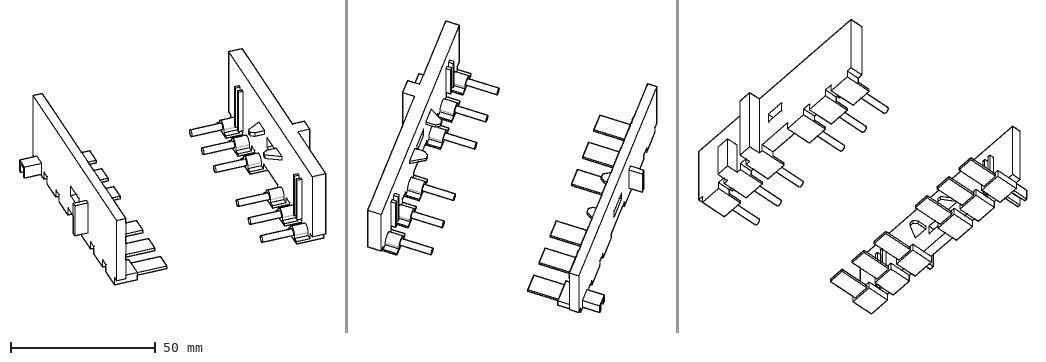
import cadquery as cq


wall_length = 80.2
wall_top = 28.6
foot_height = 3.1
foot_width = 8.5
foot_reach = 5.0

contact_first_x = 10.9
contact_pitch = 11.5
contacts_per_side = 3
contact_reach = 11.4

rib_pair_x = 28.2
rib_offset = 1.3
rib_width = 1.0
rib_reach = 1.7
rib_bottom = 4.1
rib_top = 20.9

wedge_inner_x = 5.6
wedge_tip_x = 8.05
wedge_outer_x = 11.05
wedge_thickness = 1.5
wedge_chamfer_width = 1.0
wedge_chamfer_reach = 1.4

front_outer_y = 6.4
front_thickness = 3.45
front_inner_y = front_outer_y + front_thickness
front_window_width = 7.8
front_window_bottom = 10.1
front_window_top = 14.05
tab_width = 6.2
tab_thickness = 1.15
tab_bottom = 1.1
clip_x = -34.0
clip_width = 4.7
clip_bottom = 0.7
clip_top = 5.4
clip_wall = 1.1
blade_x = 12.0
blade_thickness = 1.7
blade_reach = 4.95
blade_bottom = 5.4
blade_top = 18.1

depth = 88.4
rear_block_reach = 4.4
rear_thickness = 5.0
rear_outer_y = depth - rear_block_reach
rear_inner_y = rear_outer_y - rear_thickness
rear_window_width = 6.9
rear_window_bottom = 12.4
rear_window_top = 16.4
sole_thickness = 1.1
socket_radius = 2.2
socket_axis_z = 2.3
pin_diameter = 2.5
rear_block_width = 5.1
tall_block_x = 10.7
short_block_x = 22.4
short_block_height = wall_top / 2

contact_xs = [
    side * (contact_first_x + i * contact_pitch)
    for side in (-1, 1)
    for i in range(contacts_per_side)
]


def box(x_middle, width, y_start, y_end, z_bottom, z_top):
    """Block centred on x_middle, between the given Y and Z limits."""
    size = (width, y_end - y_start, z_top - z_bottom)
    return cq.Workplane("XY").box(*size, centered=(True, False, False)).translate((x_middle, y_start, z_bottom))


def wall(y_start, y_end):
    """Plain wall standing on its row of feet."""
    body = box(0, wall_length, y_start, y_end, foot_height, wall_top)
    for x in contact_xs:
        body = body.union(box(x, foot_width, y_start, y_end, 0, foot_height))
    return body


def guide_ribs(face_y, direction):
    """Four upright ribs standing out from face_y along direction."""
    ribs = cq.Workplane("XY")
    y_start, y_end = sorted((face_y, face_y + direction * rib_reach))
    for pair_x in (-rib_pair_x, rib_pair_x):
        for x in (pair_x - rib_offset, pair_x + rib_offset):
            ribs = ribs.add(box(x, rib_width, y_start, y_end, rib_bottom, rib_top))
    return ribs


def latch_wedges(face_y, direction, z_bottom):
    """Mirrored pair of flat latch wedges, chamfered at their inner corner and slanted outside."""
    tip_y = face_y + direction * foot_reach
    outline = [
        (wedge_inner_x, face_y),
        (wedge_inner_x, tip_y - direction * wedge_chamfer_reach),
        (wedge_inner_x + wedge_chamfer_width, tip_y),
        (wedge_tip_x, tip_y),
        (wedge_outer_x, face_y),
    ]
    wedge = cq.Workplane("XY").workplane(offset=z_bottom).polyline(outline).close().extrude(wedge_thickness)
    return wedge.add(wedge.mirror("YZ"))


def join(body, features):
    """Fuse every solid held by features into body."""
    for solid in features.vals():
        body = body.union(cq.Workplane(solid))
    return body


def clip():
    """Channel open downwards and outwards, at the left end of the front wall."""
    block = box(clip_x, clip_width, 0, front_outer_y, clip_bottom, clip_top)
    channel = box(clip_x, clip_width - 2 * clip_wall, 0, front_outer_y, clip_bottom, clip_top - clip_wall)
    return block.cut(channel)


def make_front_carrier():
    foot_end_y = front_inner_y + foot_reach
    tab_top = tab_bottom + tab_thickness
    body = wall(front_outer_y, front_inner_y)
    for x in contact_xs:
        body = body.union(box(x, foot_width, front_inner_y, foot_end_y, 0, foot_height))
        body = body.union(box(x, tab_width, foot_end_y, foot_end_y + contact_reach, tab_bottom, tab_top))
    window = box(0, front_window_width, front_outer_y, front_inner_y, front_window_bottom, front_window_top)
    blade = box(blade_x, blade_thickness, front_outer_y - blade_reach, front_outer_y, blade_bottom, blade_top)
    body = body.cut(window).union(blade).union(clip())
    body = join(body, guide_ribs(front_inner_y, 1))
    return join(body, latch_wedges(front_inner_y, 1, front_window_top))


def pin_socket(x, y_start, y_end):
    """Round-topped socket on a thin sole, carrying a pin that points towards -Y."""
    sole = box(x, foot_width, y_start, y_end, 0, sole_thickness)
    cheeks = box(x, 2 * socket_radius, y_start, y_end, 0, socket_axis_z)
    axis = cq.Workplane("XZ", origin=(x, y_end, socket_axis_z))
    crown = axis.circle(socket_radius).extrude(y_end - y_start)
    pin = axis.circle(pin_diameter / 2).extrude(y_end - y_start + contact_reach)
    return sole.union(cheeks).union(crown).union(pin)


def make_rear_carrier():
    body = wall(rear_inner_y, rear_outer_y)
    for x in contact_xs:
        body = body.union(pin_socket(x, rear_inner_y - foot_reach, rear_inner_y))
    window = box(0, rear_window_width, rear_inner_y, rear_outer_y, rear_window_bottom, rear_window_top)
    tall_block = box(tall_block_x, rear_block_width, rear_outer_y, depth, 0, wall_top)
    short_block = box(short_block_x, rear_block_width, rear_outer_y, depth, 0, short_block_height)
    body = body.cut(window).union(tall_block).union(short_block)
    body = join(body, guide_ribs(rear_inner_y, -1))
    return join(body, latch_wedges(rear_inner_y, -1, rear_window_top))


front_carrier = make_front_carrier()
rear_carrier = make_rear_carrier()
result = cq.Compound.makeCompound([front_carrier.val(), rear_carrier.val()])